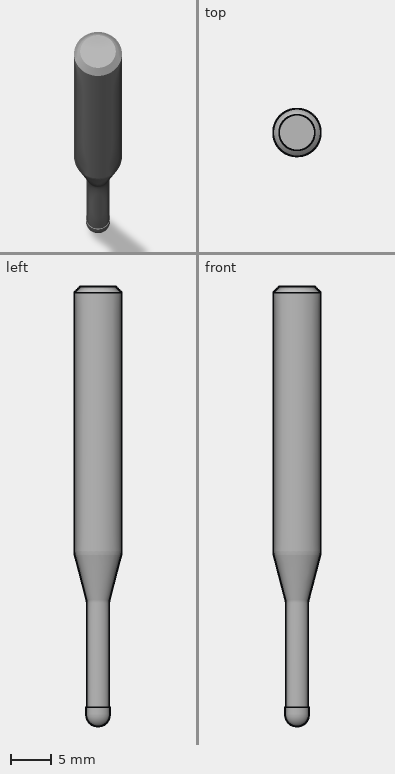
import cadquery as cq
import math

total_length = 55.0
shank_radius = 6.0 / 2
neck_radius = 2.85 / 2
chamfer = 0.75

ball_radius = 3.0 / 2
head_height = 2.4

neck_top = 15.5
lower_blend_height = 0.35
upper_blend_height = 0.5
shank_bottom = 21.95


def blend_arc_points(start_radius, start_z, height, slope, bend):
    """Middle point and end point of an arc that leaves a cylinder and turns to the cone slope.

    height is measured along the axis: positive goes up, negative goes down.
    bend is +1 when the radius grows away from the cylinder and -1 when it shrinks.
    """
    arc_radius = abs(height) / math.sin(slope)
    points = []
    for angle in (slope / 2, slope):
        radius = start_radius + bend * arc_radius * (1 - math.cos(angle))
        z = start_z + math.copysign(arc_radius * math.sin(angle), height)
        points.append((radius, z))
    return points


def cone_slope():
    """Half angle of the cone tangent to both blend arcs.

    A blend arc turned through the slope gains height * tan(slope / 2) in radius.
    """
    cone_height = shank_bottom - neck_top - lower_blend_height - upper_blend_height
    radius_gain = shank_radius - neck_radius
    slope_iterations = 30
    slope = 0.0
    for _ in range(slope_iterations):
        blend_gain = (lower_blend_height + upper_blend_height) * math.tan(slope / 2)
        slope = math.atan2(radius_gain - blend_gain, cone_height)
    return slope


def make_shank():
    """Chamfered shank, conical transition and neck, turned about Z."""
    slope = cone_slope()
    lower_middle, cone_bottom = blend_arc_points(neck_radius, neck_top, lower_blend_height, slope, 1)
    upper_middle, cone_top = blend_arc_points(shank_radius, shank_bottom, -upper_blend_height, slope, -1)
    return (
        cq.Workplane("XZ")
        .moveTo(0, head_height)
        .lineTo(neck_radius, head_height)
        .lineTo(neck_radius, neck_top)
        .threePointArc(lower_middle, cone_bottom)
        .lineTo(*cone_top)
        .threePointArc(upper_middle, (shank_radius, shank_bottom))
        .lineTo(shank_radius, total_length - chamfer)
        .lineTo(shank_radius - chamfer, total_length)
        .lineTo(0, total_length)
        .close()
        .revolve(360, (0, 0), (0, 1))
    )


def make_cutting_head():
    """Hemisphere with a short cylindrical collar, turned about Z."""
    arc_offset = ball_radius * math.sqrt(0.5)
    return (
        cq.Workplane("XZ")
        .lineTo(0, head_height)
        .lineTo(ball_radius, head_height)
        .lineTo(ball_radius, ball_radius)
        .threePointArc((arc_offset, ball_radius - arc_offset), (0, 0))
        .close()
        .revolve(360, (0, 0), (0, 1))
    )


shank = make_shank()
cutting_head = make_cutting_head()

result = cq.Compound.makeCompound([shank.val(), cutting_head.val()])